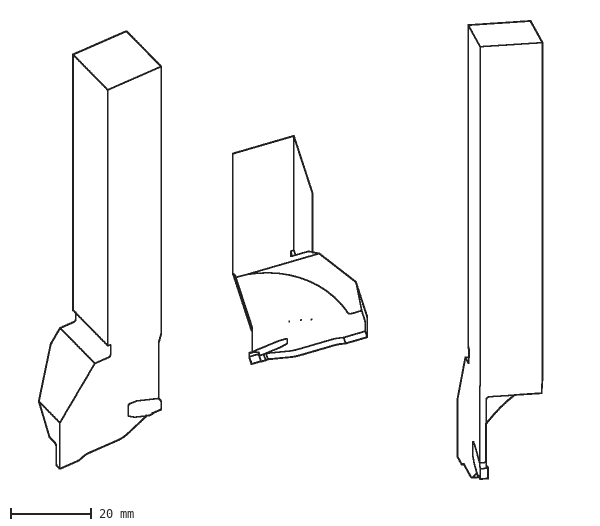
import cadquery as cq
import math


TOOL_WIDTH = 15.7
TOOL_LENGTH = 119.3
SHANK_DEPTH = 15.9
HEAD_DEPTH = 30.1
BACK_RELIEF = 0.7
BACK_RELIEF_TOP = 30.2
BACK_RELIEF_BOTTOM = 27.7

STEP_TOP = 34.1
STEP_DEPTH = 0.8
STEP_SLANT = 0.2
STEP_FILLET = 0.6
LEDGE_HEIGHT = 30.1
LEDGE_FRONT = 19.7
FRONT_SLOPE_BOTTOM = 15.4

FLANK_TOP = 26.1
FLANK_ANGLE = 30.0

BLADE_THICKNESS = 1.7
BLADE_FACE_X = TOOL_WIDTH - BLADE_THICKNESS
RELIEF_RADIUS = 28.2
RELIEF_CENTER_Z = -1.8
RELIEF_LEDGE_Z = 7.0
RELIEF_FILLET = 0.8
RELIEF_CORNER_RADIUS = 0.8
BLADE_BOTTOM_Z = 1.1
TOE_REAR = 24.5
TOE_RAMP_TOP = (-22.8, 0.8)
TOE_CURVE_MID = (-22.0, 1.01)
BLADE_FLAT_FRONT = 21.0
BLADE_FLAT_REAR = 12.6
HEEL_CURVE_MID = (-11.5, 1.25)
HEEL_RAMP_FOOT = (-10.3, 1.7)

TIP_OVERHANG = 0.4
TIP_BOTTOM = 5.0
TIP_TOP = 7.8
INSERT_REAR = 9.8
INSERT_CORNER_RADIUS = 0.6
INSERT_MOUTH_TOP = 9.1
INSERT_MOUTH_DEPTH = 4.3
INSERT_MOUTH_BOTTOM = 5.0
TIP_STEP_DEPTH = 2.5
TIP_STEP_BOTTOM = 4.8
TIP_STEP_FRONT = 3.7
INSERT_NOSE_CORNER = (-0.4, 8.5)
INSERT_UPPER_BEND = (-7.3, 11.5)
INSERT_REAR_TOP = 11.6
INSERT_REAR_BOTTOM = 7.6
INSERT_LOWER_BEND = (-7.9, 6.3)
TIP_UPPER_CORNER = (-0.4, 8.0)
TIP_STEP_TOP = 6.5

CLEARANCE = 2.4


def side_sketch(start_x):
    return cq.Workplane("YZ", origin=(start_x, 0, 0))


def make_blank():
    """Full-width side outline of shank, head and blade."""
    neck_front = SHANK_DEPTH - STEP_DEPTH
    blank = (
        side_sketch(0)
        .moveTo(0, TOOL_LENGTH)
        .lineTo(-SHANK_DEPTH, TOOL_LENGTH)
        .lineTo(-SHANK_DEPTH, STEP_TOP)
        .lineTo(-neck_front, STEP_TOP - STEP_SLANT)
        .lineTo(-neck_front, LEDGE_HEIGHT)
        .lineTo(-LEDGE_FRONT, LEDGE_HEIGHT)
        .lineTo(-HEAD_DEPTH, FRONT_SLOPE_BOTTOM)
        .lineTo(-HEAD_DEPTH, 0)
        .lineTo(-TOE_REAR, 0)
        .lineTo(*TOE_RAMP_TOP)
        .threePointArc(TOE_CURVE_MID, (-BLADE_FLAT_FRONT, BLADE_BOTTOM_Z))
        .lineTo(-BLADE_FLAT_REAR, BLADE_BOTTOM_Z)
        .threePointArc(HEEL_CURVE_MID, HEEL_RAMP_FOOT)
        .lineTo(-INSERT_MOUTH_DEPTH, INSERT_MOUTH_BOTTOM)
        .lineTo(-BACK_RELIEF, INSERT_MOUTH_TOP)
        .lineTo(-BACK_RELIEF, BACK_RELIEF_BOTTOM)
        .lineTo(0, BACK_RELIEF_TOP)
        .close()
        .extrude(TOOL_WIDTH)
    )
    step_corner = cq.selectors.NearestToPointSelector((TOOL_WIDTH / 2, -neck_front, LEDGE_HEIGHT))
    return blank.edges(step_corner).fillet(STEP_FILLET)


def make_flank_cutter():
    """Wedge that slants the -X flank of the head down to the blade."""
    flank_bottom = FLANK_TOP - BLADE_FACE_X / math.tan(math.radians(FLANK_ANGLE))
    return (
        cq.Workplane("XZ", origin=(0, CLEARANCE, 0))
        .polyline([(0, FLANK_TOP), (BLADE_FACE_X, flank_bottom), (0, flank_bottom)])
        .close()
        .extrude(HEAD_DEPTH + 2 * CLEARANCE)
    )


def make_relief_cutter():
    """Round-walled space beside the blade, with a filleted foot along its wall."""
    relief_top = RELIEF_CENTER_Z + RELIEF_RADIUS
    corner_rise = RELIEF_LEDGE_Z - RELIEF_CENTER_Z
    corner_depth = math.sqrt(RELIEF_RADIUS**2 - corner_rise**2)
    mid_reach = RELIEF_RADIUS * math.sqrt(0.5)
    cutter = (
        side_sketch(-CLEARANCE)
        .moveTo(CLEARANCE, relief_top)
        .lineTo(0, relief_top)
        .threePointArc((-mid_reach, RELIEF_CENTER_Z + mid_reach), (-corner_depth, RELIEF_LEDGE_Z))
        .lineTo(-HEAD_DEPTH - CLEARANCE, RELIEF_LEDGE_Z)
        .lineTo(-HEAD_DEPTH - CLEARANCE, -CLEARANCE)
        .lineTo(CLEARANCE, -CLEARANCE)
        .close()
        .extrude(BLADE_FACE_X + CLEARANCE)
    )
    wall_corner = cq.selectors.NearestToPointSelector((BLADE_FACE_X / 2, -corner_depth, RELIEF_LEDGE_Z))
    cutter = cutter.edges("|X").edges(wall_corner).fillet(RELIEF_CORNER_RADIUS)
    return cutter.faces(">X").edges().fillet(RELIEF_FILLET)


def make_insert():
    """Cutting insert: a shank flush with the blade and a slightly wider tip."""
    insert_body = (
        side_sketch(BLADE_FACE_X)
        .moveTo(0, TIP_BOTTOM)
        .lineTo(0, TIP_TOP)
        .lineTo(*INSERT_NOSE_CORNER)
        .lineTo(-BACK_RELIEF, INSERT_MOUTH_TOP)
        .lineTo(*INSERT_UPPER_BEND)
        .lineTo(-INSERT_REAR, INSERT_REAR_TOP)
        .lineTo(-INSERT_REAR, INSERT_REAR_BOTTOM)
        .lineTo(*INSERT_LOWER_BEND)
        .lineTo(-INSERT_MOUTH_DEPTH, INSERT_MOUTH_BOTTOM)
        .lineTo(-TIP_STEP_FRONT, TIP_STEP_BOTTOM)
        .lineTo(-TIP_STEP_DEPTH, TIP_STEP_BOTTOM)
        .lineTo(-TIP_STEP_DEPTH, TIP_BOTTOM)
        .close()
        .extrude(BLADE_THICKNESS)
        .edges("|X and <Y")
        .fillet(INSERT_CORNER_RADIUS)
    )
    tip = (
        side_sketch(BLADE_FACE_X - TIP_OVERHANG)
        .moveTo(0, TIP_BOTTOM)
        .lineTo(0, TIP_TOP)
        .lineTo(*TIP_UPPER_CORNER)
        .lineTo(-TIP_STEP_DEPTH, TIP_STEP_TOP)
        .lineTo(-TIP_STEP_DEPTH, TIP_BOTTOM)
        .close()
        .extrude(TIP_OVERHANG)
    )
    return insert_body.union(tip)


cutting_insert = make_insert()
holder = (
    make_blank()
    .cut(make_flank_cutter())
    .cut(make_relief_cutter())
    .cut(cutting_insert)
)

result = cq.Compound.makeCompound([holder.val(), cutting_insert.val()])